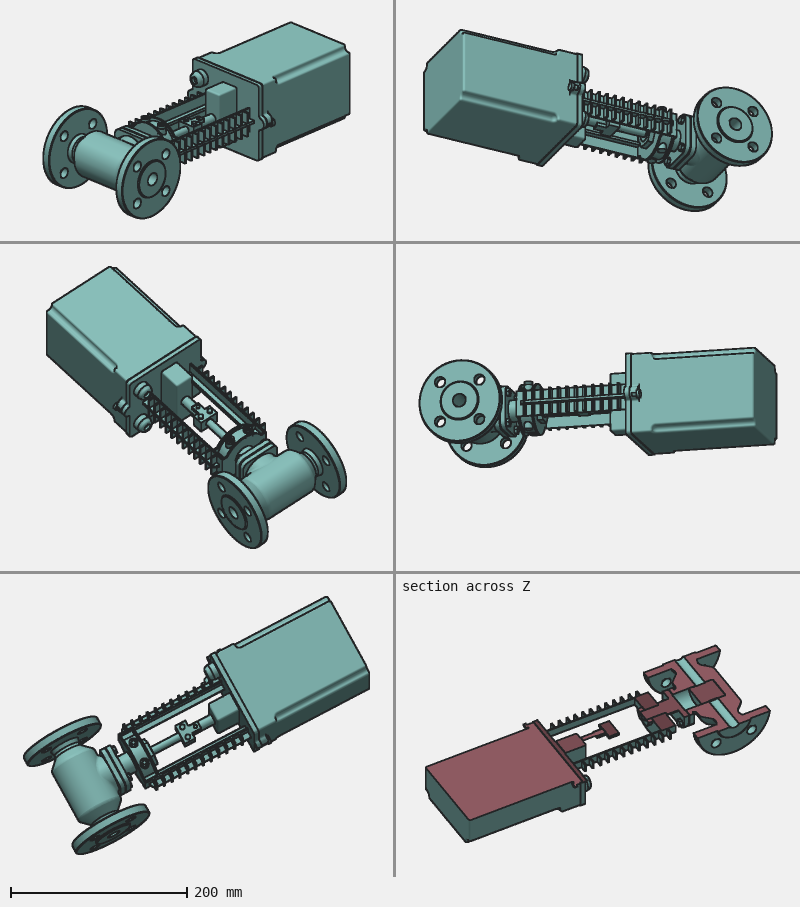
import cadquery as cq

face_x = 65.0
raised_face_step = 1.5
raised_face_radius = 22.5
raised_face_chamfer = 1.0
flange_radius = 47.6
flange_inner_x = 53.0
flange_chamfer = 0.8
hub_radius = 17.5
neck_radius = 16.0
neck_flare = 0.8
neck_outer_x = 47.5
neck_inner_x = 43.5
barrel_radius = 27.5
barrel_end_x = 32.5
barrel_edge_radius = 4.5
pipe_bore = 15.0
flange_hole = 12.0
flange_hole_offset = 23.1
tee_radius = 22.0
tee_fillet = 4.0

joint_width = 50.5
joint_corner_radius = 8.5
joint_y = 37.0
joint_thickness = 6.5
joint_gap = 0.8
gasket_width = 49.0
bonnet_top_y = joint_y + joint_thickness
valve_flange_y = joint_y - joint_thickness
bolt_offset = 18.0
bolt_across_corners = 9.5
bolt_head_height = 3.5
bonnet_neck_radius = 12.5

collar_y = 58.3
collar_top_y = 77.0
collar_radius = 29.0
collar_waist_radius = 25.5
lower_lip = 1.5
upper_lip = 2.0
collar_bore = 19.0
web_half_width = 7.0
screw_x = 13.2
screw_y = 67.5
screw_boss_diameter = 10.0
screw_head_diameter = 9.5
screw_socket = 5.0
screw_socket_depth = 2.5
arm_half_width = 14.8
arm_plate_x = 30.3
arm_plate_thickness = 2.0
arm_rib_x = 24.0
arm_rib_thickness = 3.0
fin_tip_x = 39.5
fin_count = 12
fin_pitch = 10.05
fin_thickness = 2.0
first_fin_y = 69.0
outer_rib_y = 63.7
outer_rib_radius = 7.0

nut_across_corners = 33.0
nut_height = 6.2
nut_top_y = collar_top_y + nut_height

plug_diameter = 31.0
plug_length = 31.0
stem_diameter = 9.5
rod_diameter = 12.0
coupling_y = 120.5
coupling_shoulder_y = 133.5
coupling_top_y = 145.3
coupling_width = 23.7
coupling_tongue_width = 9.5
coupling_depth = 15.5
coupling_screw_x = 6.5
coupling_screw_y = 127.0
coupling_screw = 6.0
tongue_screw_y = 140.2
tongue_screw = 3.8
coupling_screw_height = 2.0

actuator_x = -6.0
plate_y = 190.8
plate_thickness = 6.2
plate_length = 105.5
plate_height = 95.0
plate_corner_radius = 4.0
cover_y = plate_y + plate_thickness
cover_end_y = 340.9
cover_length = 103.5
cover_height = 93.2
cover_edge_radius = 2.53
groove_y = 221.0
groove_width = 7.8
groove_root_radius = 4.5
lug_diameter = 15.0
lug_fillet = 2.53
lug_end_y = 206.3
lug_screw_left_x = -63.5
lug_screw_right_x = 50.5
lug_screw_z = -2.5
lug_screw_shank = 6.0
lug_screw_shank_y = 199.5
lug_screw_head = 9.5
lug_screw_head_y = 205.0
lug_screw_head_height = 3.5
gland_x = -43.0
gland_z = 28.7
gland_diameter = 19.0
gland_shoulder_y = 183.8
gland_dome_y = 181.0
gland_dome_radius = 8.5
gland_end_y = 178.0
gland_end_radius = 4.5
gland_dome_bulge = 0.8
gland_hole = 8.0
gland_hole_depth = 4.0
gearbox_width = 23.5
gearbox_height = 67.5
gearbox_y = 162.8
gearbox_edge_radius = 2.5


def box(x, y, z):
    """Box given by its (start, end) pairs along X, Y and Z."""
    size = (x[1] - x[0], y[1] - y[0], z[1] - z[0])
    return cq.Workplane("XY").box(*size, centered=False).translate((x[0], y[0], z[0]))


def profile_y(y):
    """Plane across Y, with local axes along +X and +Z, at height y."""
    return cq.Workplane(cq.Plane(origin=(0, y, 0), xDir=(1, 0, 0), normal=(0, -1, 0)))


def cylinder_y(diameter, start, end, x=0, z=0):
    return profile_y(start).center(x, z).circle(diameter / 2).extrude(start - end)


def hexagon_y(across_corners, start, end, x=0, z=0):
    return profile_y(start).center(x, z).polygon(6, across_corners).extrude(start - end)


def square_y(width, corner_radius, start, end):
    return profile_y(start).rect(width, width).extrude(start - end).edges("|Y").fillet(corner_radius)


def mirrored_x(shape):
    return shape.union(shape.mirror("YZ"))


def make_valve_half():
    flange_face_x = face_x - raised_face_step
    return (
        cq.Workplane("XY")
        .moveTo(0, 0)
        .lineTo(0, barrel_radius)
        .lineTo(barrel_end_x, barrel_radius)
        .lineTo(neck_inner_x, neck_radius + neck_flare)
        .lineTo(neck_outer_x, neck_radius)
        .lineTo(flange_inner_x, hub_radius)
        .lineTo(flange_inner_x, flange_radius - flange_chamfer)
        .lineTo(flange_inner_x + flange_chamfer, flange_radius)
        .lineTo(flange_face_x - flange_chamfer, flange_radius)
        .lineTo(flange_face_x, flange_radius - flange_chamfer)
        .lineTo(flange_face_x, raised_face_radius)
        .lineTo(face_x, raised_face_radius - raised_face_chamfer)
        .lineTo(face_x, 0)
        .close()
        .revolve(360, (0, 0, 0), (1, 0, 0))
        .edges(cq.selectors.BoxSelector(
            (barrel_end_x - 0.5, -barrel_radius - 4, -barrel_radius - 4),
            (barrel_end_x + 0.5, barrel_radius + 4, barrel_radius + 4)))
        .fillet(barrel_edge_radius)
    )


def make_valve_body():
    half = make_valve_half()
    body = half.union(half.mirror("YZ")).clean()
    body = body.rotate((0, 0, 0), (1, 0, 0), 180)
    tee = cylinder_y(2 * tee_radius, 0, valve_flange_y)
    body = body.union(tee)
    tee_seam = cq.selectors.BoxSelector((-27.2, 4, -27.2), (27.2, valve_flange_y - 0.8, 27.2))
    body = body.edges("not %LINE").edges(tee_seam).fillet(tee_fillet)
    body = body.union(square_y(joint_width, joint_corner_radius, valve_flange_y, joint_y - joint_gap / 2))
    bore = cq.Workplane("YZ").circle(pipe_bore / 2).extrude(face_x, both=True)
    holes = (
        cq.Workplane("YZ")
        .rect(2 * flange_hole_offset, 2 * flange_hole_offset, forConstruction=True)
        .vertices()
        .circle(flange_hole / 2)
        .extrude(face_x, both=True)
        .cut(cq.Workplane("YZ").rect(155.5, 155.5).extrude(flange_inner_x, both=True))
    )
    plug_hole = cylinder_y(plug_diameter, -plug_length / 2, joint_y)
    return body.cut(bore).cut(holes).cut(plug_hole)


def make_bonnet():
    bonnet = square_y(joint_width, joint_corner_radius, joint_y + joint_gap / 2, bonnet_top_y)
    bonnet = bonnet.union(
        square_y(gasket_width, joint_corner_radius, joint_y - joint_gap / 2, joint_y + joint_gap / 2))
    bonnet = bonnet.union(cylinder_y(2 * bonnet_neck_radius, bonnet_top_y, collar_y))
    bonnet = bonnet.union(cylinder_y(collar_bore, collar_y, nut_top_y))
    for x in (-bolt_offset, bolt_offset):
        for z in (-bolt_offset, bolt_offset):
            head = hexagon_y(bolt_across_corners, bonnet_top_y, bonnet_top_y + bolt_head_height, x, z)
            bonnet = bonnet.union(head)
    return bonnet.cut(cylinder_y(stem_diameter, valve_flange_y, nut_top_y))


def collar_slice(radius, half_width, start, end):
    """Round slice of the collar, reaching out to both arm plates."""
    reach = box((-arm_plate_x, arm_plate_x), (start, end), (-half_width, half_width))
    return reach.union(cylinder_y(2 * radius, start, end))


def make_clamp_screw(x):
    """Boss through the collar waist, with a socket-head screw on its upper end."""
    spot = cq.Workplane("XY").center(x, screw_y)
    boss = spot.circle(screw_boss_diameter / 2).extrude(collar_waist_radius, both=True)
    head_height = collar_radius - collar_waist_radius
    head = (
        cq.Workplane("XY", origin=(x, screw_y, collar_waist_radius))
        .circle(screw_head_diameter / 2)
        .extrude(head_height)
        .faces(">Z")
        .workplane()
        .polygon(6, screw_socket)
        .cutBlind(-screw_socket_depth)
    )
    return boss.union(head)


def make_collar():
    collar = collar_slice(collar_waist_radius, web_half_width, collar_y, collar_top_y)
    lower_end = collar_y + lower_lip
    upper_start = collar_top_y - upper_lip
    collar = collar.union(collar_slice(collar_radius, arm_half_width, collar_y, lower_end))
    collar = collar.union(collar_slice(collar_radius, arm_half_width, upper_start, collar_top_y))
    for x in (-screw_x, screw_x):
        collar = collar.union(make_clamp_screw(x))
    return collar.cut(cylinder_y(collar_bore, collar_y, collar_top_y))


def make_arm():
    plate_end_x = arm_plate_x + arm_plate_thickness
    arm_width = (-arm_half_width, arm_half_width)
    rib_width = (-arm_rib_thickness / 2, arm_rib_thickness / 2)
    arm = box((arm_plate_x, plate_end_x), (collar_y, plate_y), arm_width)
    arm = arm.union(box((arm_rib_x, arm_plate_x), (collar_top_y, plate_y), rib_width))
    outer_rib = box((arm_plate_x, fin_tip_x), (outer_rib_y, plate_y), rib_width)
    arm = arm.union(outer_rib.edges(">X and <Y").fillet(outer_rib_radius))
    for i in range(fin_count):
        y = first_fin_y + i * fin_pitch
        fin_y = (y - fin_thickness / 2, y + fin_thickness / 2)
        arm = arm.union(box((arm_plate_x, fin_tip_x), fin_y, arm_width))
    return arm


def make_yoke():
    return make_collar().union(mirrored_x(make_arm()))


def make_nut():
    nut = hexagon_y(nut_across_corners, collar_top_y, nut_top_y)
    return nut.cut(cylinder_y(collar_bore, collar_top_y, nut_top_y))


def make_stem():
    stem = cylinder_y(plug_diameter, -plug_length / 2, plug_length / 2)
    return stem.union(cylinder_y(stem_diameter, plug_length / 2, coupling_shoulder_y))


def make_coupling():
    depth = (-coupling_depth / 2, coupling_depth / 2)
    block = box((-coupling_width / 2, coupling_width / 2), (coupling_y, coupling_shoulder_y), depth)
    tongue_x = (-coupling_tongue_width / 2, coupling_tongue_width / 2)
    coupling = block.union(box(tongue_x, (coupling_shoulder_y, coupling_top_y), depth))
    screws = (
        (-coupling_screw_x, coupling_screw_y, coupling_screw),
        (coupling_screw_x, coupling_screw_y, coupling_screw),
        (0, tongue_screw_y, tongue_screw),
    )
    for x, y, diameter in screws:
        spot = cq.Workplane("XY", origin=(x, y, coupling_depth / 2))
        coupling = coupling.union(spot.circle(diameter / 2).extrude(coupling_screw_height))
    coupling = coupling.cut(cylinder_y(stem_diameter, coupling_y, coupling_shoulder_y))
    return coupling.cut(cylinder_y(rod_diameter, coupling_shoulder_y, coupling_top_y))


def make_drive_rod():
    return cylinder_y(rod_diameter, coupling_shoulder_y, gearbox_y)


def make_gearbox():
    half_width = gearbox_width / 2
    half_height = gearbox_height / 2
    gearbox = box((-half_width, half_width), (gearbox_y, plate_y), (-half_height, half_height))
    return gearbox.edges("|Y or <Y").fillet(gearbox_edge_radius)


def make_wall_lug(wall_x, start, end):
    """Round lug on both side walls, blended into them by concave fillets."""
    wall = box((-wall_x, wall_x), (start, end), (-plate_height / 2, plate_height / 2))
    lug = wall
    for x in (-wall_x, wall_x):
        lug = lug.union(cylinder_y(lug_diameter, start, end, x))
    seams = cq.selectors.BoxSelector((-wall_x - 0.5, start - 4, -lug_diameter / 2 - 0.5),
                                     (wall_x + 0.5, end + 4, lug_diameter / 2 + 0.5))
    lug = lug.edges("|Y").edges(seams).fillet(lug_fillet)
    trim = box((-wall_x - 19.5, wall_x + 19.5), (start, end), (-19.5, 19.5))
    return lug.intersect(trim).translate((actuator_x, 0, 0))


def make_gland(z):
    dome_mid_radius = (gland_dome_radius + gland_end_radius) / 2 + gland_dome_bulge
    dome_mid_y = (gland_dome_y + gland_end_y) / 2 - gland_dome_bulge
    gland = (
        cq.Workplane("XY")
        .moveTo(0, plate_y)
        .lineTo(gland_diameter / 2, plate_y)
        .lineTo(gland_diameter / 2, gland_shoulder_y)
        .lineTo(gland_dome_radius, gland_dome_y)
        .threePointArc((dome_mid_radius, dome_mid_y), (gland_end_radius, gland_end_y))
        .lineTo(0, gland_end_y)
        .close()
        .revolve(360, (0, 0, 0), (0, 1, 0))
        .translate((gland_x, 0, z))
    )
    return gland.cut(cylinder_y(gland_hole, gland_end_y, gland_end_y + gland_hole_depth, gland_x, z))


def make_base_plate():
    plate = (
        profile_y(plate_y)
        .center(actuator_x, 0)
        .rect(plate_length, plate_height)
        .extrude(-plate_thickness)
        .edges("|Y")
        .fillet(plate_corner_radius)
    )
    plate = plate.union(make_wall_lug(plate_length / 2, plate_y, cover_y))
    for z in (-gland_z, gland_z):
        plate = plate.union(make_gland(z))
    return plate


def make_groove(side_x, side_z):
    """Cutter for one long corner of the cover, rounded along its root and at its blind end."""
    x = side_x * cover_length / 2
    z = side_z * cover_height / 2
    groove = box((x - groove_width, x + groove_width), (groove_y, cover_end_y + groove_width),
                 (z - groove_width, z + groove_width))
    inner_x = "<X" if side_x > 0 else ">X"
    inner_z = "<Z" if side_z > 0 else ">Z"
    root = groove.faces(f"{inner_x} or {inner_z} or <Y").edges(
        f"({inner_x} and {inner_z}) or ({inner_x} and <Y) or ({inner_z} and <Y)")
    return root.fillet(groove_root_radius)


def make_cover_shell():
    half_length = cover_length / 2
    half_height = cover_height / 2
    cover = box((-half_length, half_length), (cover_y, cover_end_y), (-half_height, half_height))
    for side_x in (-1, 1):
        for side_z in (-1, 1):
            cover = cover.cut(make_groove(side_x, side_z))
    rim = cover.faces("<X or >X or <Z or >Z or >Y").edges("not <Y")
    return rim.fillet(cover_edge_radius).translate((actuator_x, 0, 0))


def make_cover():
    cover = make_cover_shell().union(make_wall_lug(cover_length / 2, cover_y, lug_end_y))
    for x in (lug_screw_left_x, lug_screw_right_x):
        shank = cylinder_y(lug_screw_shank, lug_screw_shank_y, lug_screw_head_y, x, lug_screw_z)
        head_end_y = lug_screw_head_y + lug_screw_head_height
        head = cylinder_y(lug_screw_head, lug_screw_head_y, head_end_y, x, lug_screw_z)
        cover = cover.union(shank).union(head)
    return cover


bodies = [
    make_valve_body(),
    make_bonnet(),
    make_yoke(),
    make_nut(),
    make_stem(),
    make_coupling(),
    make_drive_rod(),
    make_gearbox(),
    make_base_plate(),
    make_cover(),
]
result = cq.Compound.makeCompound([body.val() for body in bodies])